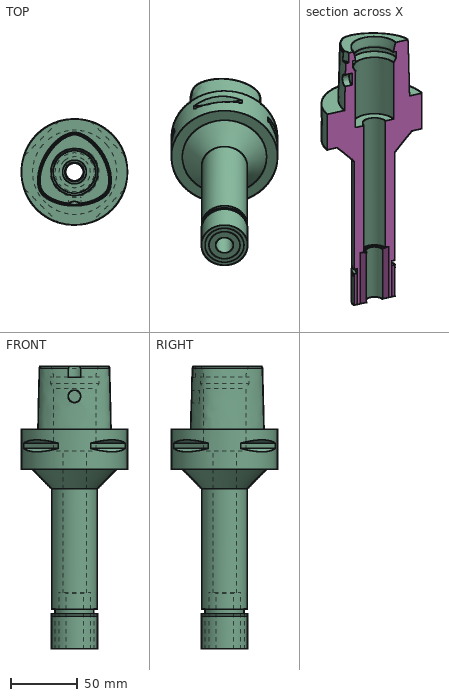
import cadquery as cq
import math

TOTAL_HEIGHT = 213.0
FLANGE_TOP = 165.5
FLANGE_BOTTOM = 135.3
CONE_BOTTOM = 120.5
SHANK_BOTTOM = 30.0
NUT_TOP = 26.6
NUT_COLLAR_HEIGHT = 2.1

FLANGE_RADIUS = 40.0
CONE_TOP_RADIUS = 31.7
SHANK_RADIUS = 17.3
THREAD_RADIUS = 14.7
NUT_RADIUS = 17.5
NUT_COLLAR_STEP = 0.1

POLYGON_RADIUS = 27.7
POLYGON_LOBE = 2.1
POLYGON_TAPER = 0.025
POLYGON_POINTS = 48
RIM_CHAMFER_HEIGHT = 1.7
RIM_CHAMFER_WIDTH = 0.6

MOUTH_RADIUS = 17.7
BORE_RADIUS = 16.0
GROOVE_RADIUS = 18.3
MOUTH_DEPTH = 6.5
LIP_DEPTH = 8.0
GROOVE_DEPTH = 12.8
GROOVE_SLOPE_DEPTH = 16.6
BORE_DEPTH = 64.0
CHANNEL_RADIUS = 9.0

NOTCH_RADIUS = 6.2
NOTCH_INNER_Y = -22.2
NOTCH_DEPTH = 8.3
SIDE_HOLE_RADIUS = 4.7
SIDE_HOLE_DROP = 22.8
SIDE_HOLE_FLOOR_Y = -19.2

SLOT_COUNT = 4
SLOT_FIRST_ANGLE = 45.0
SLOT_FLOOR_DISTANCE = 35.5
SLOT_FLOOR_HEIGHT = 3.8
SLOT_MIDDLE_DROP = 12.5
SLOT_FLANK_ANGLE = 30.0

COLLET_RADIUS = 11.7
COLLET_TOP = 42.5
COLLET_BORE_RADIUS = 6.5
COLLET_CHAMFER = 0.6


def revolved(points):
    """Solid of revolution about Z from a closed outline of (radius, height) points."""
    return cq.Workplane("XZ").polyline(points).close().revolve(360, (0, 0, 0), (0, 1, 0))


def polygon_wire(radius, height):
    """Three-lobed outline with its lobes at +Y and 120 degrees either side of it."""
    points = []
    for index in range(POLYGON_POINTS):
        angle = 2 * math.pi * index / POLYGON_POINTS - math.pi / 2
        reach = radius - POLYGON_LOBE * math.sin(3 * angle)
        slide = -3 * POLYGON_LOBE * math.cos(3 * angle)
        x = reach * math.cos(angle) - slide * math.sin(angle)
        y = reach * math.sin(angle) + slide * math.cos(angle)
        points.append(cq.Vector(x, y, height))
    return cq.Wire.assembleEdges([cq.Edge.makeSpline(points, periodic=True)])


def make_stem():
    rim_height = TOTAL_HEIGHT - RIM_CHAMFER_HEIGHT
    rim_radius = POLYGON_RADIUS - POLYGON_TAPER * (rim_height - FLANGE_TOP)
    base = polygon_wire(POLYGON_RADIUS, FLANGE_TOP)
    rim = polygon_wire(rim_radius, rim_height)
    top = polygon_wire(rim_radius - RIM_CHAMFER_WIDTH, TOTAL_HEIGHT)
    tapered = cq.Workplane(cq.Solid.makeLoft([base, rim], True))
    chamfered_rim = cq.Workplane(cq.Solid.makeLoft([rim, top], True))
    return tapered.union(chamfered_rim)


def make_turned_body():
    return revolved([
        (0, FLANGE_TOP),
        (FLANGE_RADIUS, FLANGE_TOP),
        (FLANGE_RADIUS, FLANGE_BOTTOM),
        (CONE_TOP_RADIUS, FLANGE_BOTTOM),
        (SHANK_RADIUS, CONE_BOTTOM),
        (SHANK_RADIUS, SHANK_BOTTOM),
        (THREAD_RADIUS, SHANK_BOTTOM),
        (THREAD_RADIUS, 0),
        (0, 0),
    ])


def make_bore():
    return revolved([
        (0, TOTAL_HEIGHT),
        (MOUTH_RADIUS, TOTAL_HEIGHT),
        (BORE_RADIUS, TOTAL_HEIGHT - MOUTH_DEPTH),
        (BORE_RADIUS, TOTAL_HEIGHT - LIP_DEPTH),
        (GROOVE_RADIUS, TOTAL_HEIGHT - LIP_DEPTH),
        (GROOVE_RADIUS, TOTAL_HEIGHT - GROOVE_DEPTH),
        (BORE_RADIUS, TOTAL_HEIGHT - GROOVE_SLOPE_DEPTH),
        (BORE_RADIUS, TOTAL_HEIGHT - BORE_DEPTH),
        (CHANNEL_RADIUS, TOTAL_HEIGHT - BORE_DEPTH),
        (CHANNEL_RADIUS, COLLET_TOP),
        (COLLET_RADIUS, COLLET_TOP),
        (COLLET_RADIUS, 0),
        (0, 0),
    ])


def make_key_notch():
    return (
        cq.Workplane("XY", origin=(0, NOTCH_INNER_Y - NOTCH_RADIUS, TOTAL_HEIGHT))
        .circle(NOTCH_RADIUS)
        .extrude(-NOTCH_DEPTH)
    )


def make_side_hole():
    return (
        cq.Workplane("XZ", origin=(0, SIDE_HOLE_FLOOR_Y, TOTAL_HEIGHT - SIDE_HOLE_DROP))
        .circle(SIDE_HOLE_RADIUS)
        .extrude(POLYGON_RADIUS + SIDE_HOLE_FLOOR_Y)
    )


def make_gripper_slot(angle):
    """Straight slot across the rim of the flange, with flanks that open outward."""
    middle = FLANGE_TOP - SLOT_MIDDLE_DROP
    floor_half = SLOT_FLOOR_HEIGHT / 2
    depth = FLANGE_RADIUS - SLOT_FLOOR_DISTANCE
    mouth_half = floor_half + depth * math.tan(math.radians(SLOT_FLANK_ANGLE))
    profile = [
        (SLOT_FLOOR_DISTANCE, middle - floor_half),
        (FLANGE_RADIUS, middle - mouth_half),
        (FLANGE_RADIUS, middle + mouth_half),
        (SLOT_FLOOR_DISTANCE, middle + floor_half),
    ]
    slot = cq.Workplane("XZ").polyline(profile).close().extrude(FLANGE_RADIUS, both=True)
    return slot.rotate((0, 0, 0), (0, 0, 1), angle)


def make_holder():
    holder = make_turned_body().union(make_stem())
    holder = holder.cut(make_bore()).cut(make_key_notch()).cut(make_side_hole())
    for index in range(SLOT_COUNT):
        holder = holder.cut(make_gripper_slot(SLOT_FIRST_ANGLE + 360 / SLOT_COUNT * index))
    return holder


def make_nut():
    collar_radius = NUT_RADIUS - NUT_COLLAR_STEP
    collar_bottom = NUT_TOP - NUT_COLLAR_HEIGHT
    return revolved([
        (THREAD_RADIUS, 0),
        (NUT_RADIUS, 0),
        (NUT_RADIUS, collar_bottom),
        (collar_radius, collar_bottom),
        (collar_radius, NUT_TOP),
        (THREAD_RADIUS, NUT_TOP),
    ])


def make_collet():
    return revolved([
        (COLLET_BORE_RADIUS, 0),
        (COLLET_RADIUS, 0),
        (COLLET_RADIUS, COLLET_TOP),
        (COLLET_BORE_RADIUS + COLLET_CHAMFER, COLLET_TOP),
        (COLLET_BORE_RADIUS, COLLET_TOP - COLLET_CHAMFER),
    ])


holder = make_holder()
nut = make_nut()
collet = make_collet()
result = cq.Compound.makeCompound([holder.val(), nut.val(), collet.val()])